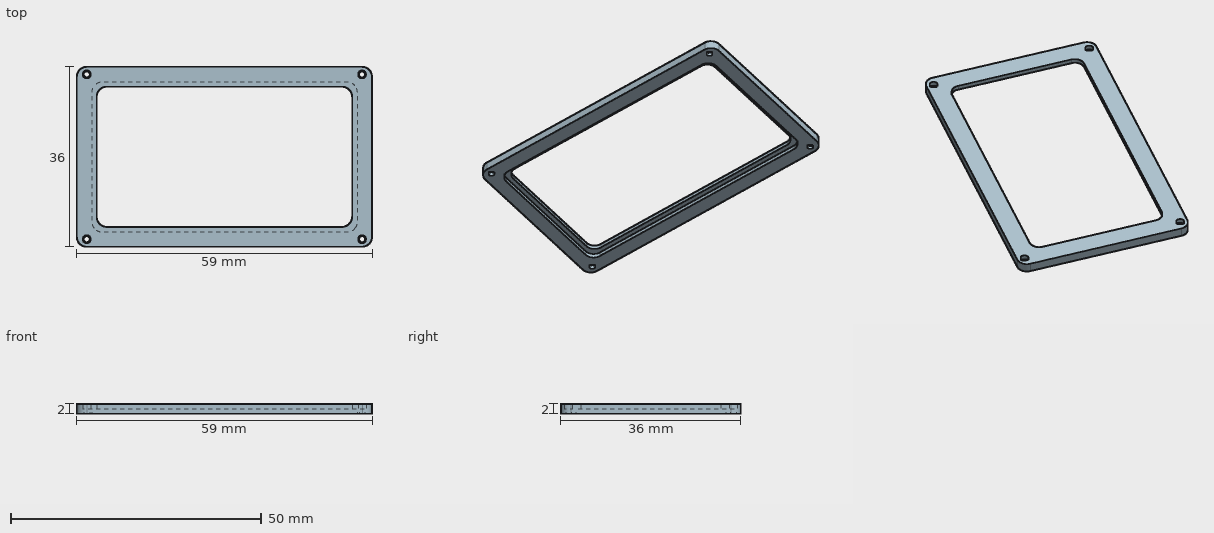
import cadquery as cq

length = 59.0
width = 36.0
thickness = 2.0
corner_radius = 2.0

border = 4.0
window_length = length - 2 * border
window_width = width - 2 * border
window_radius = 2.0

lip_thickness = thickness / 2
rebate_depth = thickness - lip_thickness
rebate_step = 1.0
rebate_length = window_length + 2 * rebate_step
rebate_width = window_width + 2 * rebate_step
rebate_radius = window_radius

hole_diameter = 1.2
counterbore_diameter = 1.6
counterbore_depth = thickness / 2
hole_inset_x = 2.0
hole_inset_y = 1.55
hole_spacing_x = length - 2 * hole_inset_x
hole_spacing_y = width - 2 * hole_inset_y


def rounded_plate(plate_length, plate_width, height, radius):
    """Plate centred in X and Y, standing on Z = 0, with rounded vertical corners."""
    plate = cq.Workplane("XY").rect(plate_length, plate_width).extrude(height)
    return plate.edges("|Z").fillet(radius)


def add_corner_holes(body):
    """Cut one counterbored through hole into each corner from the top face."""
    top = body.faces(">Z").workplane(origin=(0, 0, thickness))
    centres = top.rect(hole_spacing_x, hole_spacing_y, forConstruction=True).vertices()
    return centres.cboreHole(hole_diameter, counterbore_diameter, counterbore_depth)


plate = rounded_plate(length, width, thickness, corner_radius)
window = rounded_plate(window_length, window_width, thickness, window_radius)
rebate = rounded_plate(rebate_length, rebate_width, rebate_depth, rebate_radius)
result = add_corner_holes(plate.cut(window).cut(rebate))